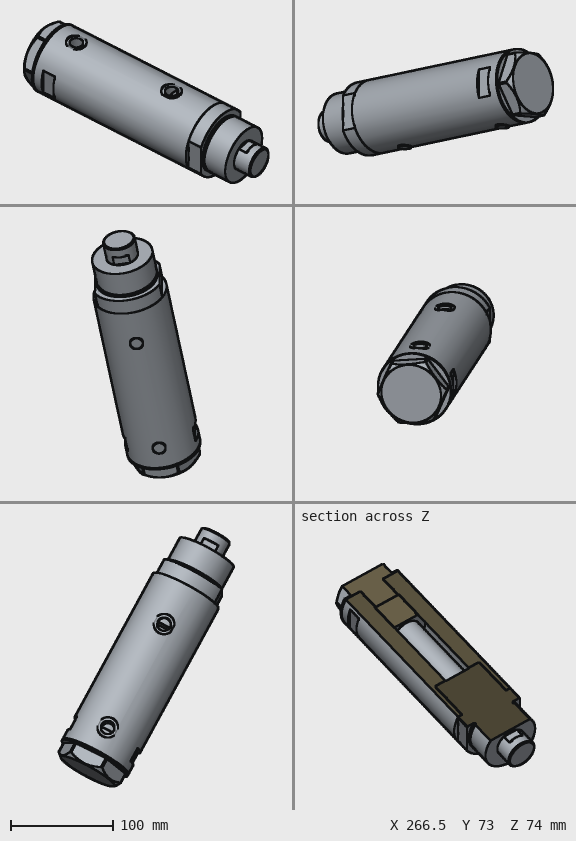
import cadquery as cq
import math


LENGTH = 266.5
BODY_RADIUS = 36.5
BORE_RADIUS = 23.0

HEX_LENGTH = 14.7
HEX_APOTHEM = 30.5
HEX_CORNER_RADIUS = 34.6
HEX_FACE_RADIUS = 29.9
HEX_CHAMFER_LENGTH = 4.5
HEX_TURN = 7.6
CAP_FLANGE_END = 16.5

TUBE_END = 203.5
PORT_1_X = 41.8
PORT_2_X = 158.5
PORT_RADIUS = 6.7
SPOTFACE_RADIUS = 10.0
SPOTFACE_DEPTH = 1.2
BOSS_1_X = 40.2
BOSS_2_X = 167.0
BOSS_RADIUS = 6.5
BOSS_HEIGHT = 1.0
TUBE_FLAT_START = 26.7
TUBE_FLAT_LENGTH = 14.5
TUBE_FLAT_OFFSET = 33.5

GLAND_FLANGE_END = 219.0
GLAND_FLAT_OFFSET = 32.0
SPIGOT_RADIUS = 32.0
THREAD_RADIUS = 30.0
THREAD_END = 247.0
GROOVE_WIDTH = 2.7
GROOVE_DEPTH = 1.0
GROOVE_SLOPE = 0.8

PISTON_LENGTH = 32.0
ROD_RADIUS = 15.7
ROD_FLAT_LENGTH = 9.3
ROD_FLAT_OFFSET = 13.5
ROD_CHAMFER = 1.0


def disc(radius, start, end):
    """Solid cylinder on the X axis between two X positions."""
    return cq.Workplane("YZ", origin=(start, 0, 0)).circle(radius).extrude(end - start)


def outer_blocks(offset, start, end, axis):
    """Two blocks lying outside a pair of flats that face along +/- axis ("Y" or "Z")."""
    size = 2 * BODY_RADIUS
    blocks = cq.Workplane()
    for side in (-1, 1):
        shift = side * (offset + size / 2)
        centre = (start, shift, 0) if axis == "Y" else (start, 0, shift)
        block = cq.Workplane(origin=centre).box(end - start, size, size, centered=(False, True, True))
        blocks = blocks.add(block)
    return blocks.combine()


def make_cap():
    """Hexagon head, thin flange and a spigot in the bore that ends under the first port."""
    hex_diameter = 2 * HEX_APOTHEM / math.cos(math.pi / 6)
    hexagon = cq.Workplane("YZ").polygon(6, hex_diameter).extrude(HEX_LENGTH)
    turned_blank = (
        cq.Workplane("XY")
        .moveTo(0, 0)
        .lineTo(0, HEX_FACE_RADIUS)
        .lineTo(HEX_CHAMFER_LENGTH, HEX_CORNER_RADIUS)
        .lineTo(HEX_LENGTH, HEX_CORNER_RADIUS)
        .lineTo(HEX_LENGTH, 0)
        .close()
        .revolve(360, (0, 0, 0), (1, 0, 0))
    )
    head = hexagon.intersect(turned_blank)
    flange = disc(BODY_RADIUS, HEX_LENGTH, CAP_FLANGE_END)
    spigot = disc(BORE_RADIUS, CAP_FLANGE_END, PORT_1_X)
    cap = head.union(flange).union(spigot)
    return cap.rotate((0, 0, 0), (1, 0, 0), -HEX_TURN)


def make_tube():
    """Tube counterbored for the gland, with two spotfaced ports, two bosses below and two side flats."""
    tube = disc(BODY_RADIUS, CAP_FLANGE_END, TUBE_END)
    for x in (BOSS_1_X, BOSS_2_X):
        boss_bottom = cq.Workplane(origin=(x, 0, -BODY_RADIUS - BOSS_HEIGHT))
        tube = tube.union(boss_bottom.circle(BOSS_RADIUS).extrude(BODY_RADIUS))
    tube = tube.cut(disc(BORE_RADIUS, CAP_FLANGE_END, TUBE_END))
    tube = tube.cut(disc(SPIGOT_RADIUS, PORT_2_X, TUBE_END))
    for x in (PORT_1_X, PORT_2_X):
        port = cq.Workplane(origin=(x, 0, 0)).circle(PORT_RADIUS).extrude(BODY_RADIUS)
        spotface_floor = cq.Workplane(origin=(x, 0, BODY_RADIUS - SPOTFACE_DEPTH))
        spotface = spotface_floor.circle(SPOTFACE_RADIUS).extrude(BODY_RADIUS)
        tube = tube.cut(port).cut(spotface)
    flat_end = TUBE_FLAT_START + TUBE_FLAT_LENGTH
    return tube.cut(outer_blocks(TUBE_FLAT_OFFSET, TUBE_FLAT_START, flat_end, "Y"))


def relief_groove():
    """Ring with sloped sides, to be cut from the thread right behind the gland flange."""
    groove_end = GLAND_FLANGE_END + GROOVE_WIDTH
    floor_radius = THREAD_RADIUS - GROOVE_DEPTH
    return (
        cq.Workplane("XY")
        .moveTo(GLAND_FLANGE_END, THREAD_RADIUS)
        .lineTo(GLAND_FLANGE_END + GROOVE_SLOPE, floor_radius)
        .lineTo(groove_end - GROOVE_SLOPE, floor_radius)
        .lineTo(groove_end, THREAD_RADIUS)
        .close()
        .revolve(360, (0, 0, 0), (1, 0, 0))
    )


def make_gland():
    """Spigot in the tube, flange with two wrench flats, and a thread with a relief groove."""
    spigot = disc(SPIGOT_RADIUS, PORT_2_X, TUBE_END)
    flange = disc(BODY_RADIUS, TUBE_END, GLAND_FLANGE_END)
    flange = flange.cut(outer_blocks(GLAND_FLAT_OFFSET, TUBE_END, GLAND_FLANGE_END, "Y"))
    thread = disc(THREAD_RADIUS, GLAND_FLANGE_END, THREAD_END).cut(relief_groove())
    gland = spigot.union(flange).union(thread)
    return gland.cut(disc(ROD_RADIUS, PORT_2_X, THREAD_END))


def make_piston_rod():
    """Piston resting against the cap spigot, and a rod with two flats near its free end."""
    piston_end = PORT_1_X + PISTON_LENGTH
    piston = disc(BORE_RADIUS, PORT_1_X, piston_end)
    rod = disc(ROD_RADIUS, piston_end, LENGTH).faces(">X").chamfer(ROD_CHAMFER)
    rod = rod.cut(outer_blocks(ROD_FLAT_OFFSET, THREAD_END, THREAD_END + ROD_FLAT_LENGTH, "Z"))
    return piston.union(rod)


cap = make_cap()
tube = make_tube()
gland = make_gland()
piston_rod = make_piston_rod()

result = cq.Compound.makeCompound([cap.val(), tube.val(), gland.val(), piston_rod.val()])